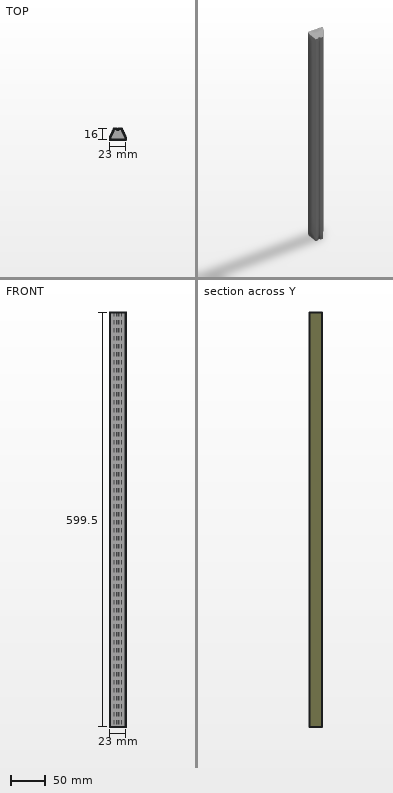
import cadquery as cq

length = 599.5
base_width = 23.0
height = 16.01

foot_height = 3.1
crest_width = 11.0
groove_width = 4.0
groove_depth = groove_width / 2

edge_chamfer = 0.5


def make_body():
    """Tapered bar, symmetric about X = 0, with its base on Y = 0."""
    half_base = base_width / 2
    half_crest = crest_width / 2
    profile = cq.Workplane("XY").polyline([
        (-half_base, 0),
        (half_base, 0),
        (half_base, foot_height),
        (half_crest, height),
        (-half_crest, height),
        (-half_base, foot_height),
    ]).close()
    return profile.extrude(length)


def make_crest_groove():
    """V-shaped cutter running along the middle of the crest."""
    half_groove = groove_width / 2
    profile = cq.Workplane("XY").polyline([
        (-half_groove, height),
        (0, height - groove_depth),
        (half_groove, height),
    ]).close()
    return profile.extrude(length)


def chamfer_foot(bar):
    """Break every edge of the base face and of the two foot sides."""
    return bar.faces("<Y or <X or >X").edges().chamfer(edge_chamfer)


result = chamfer_foot(make_body()).cut(make_crest_groove())